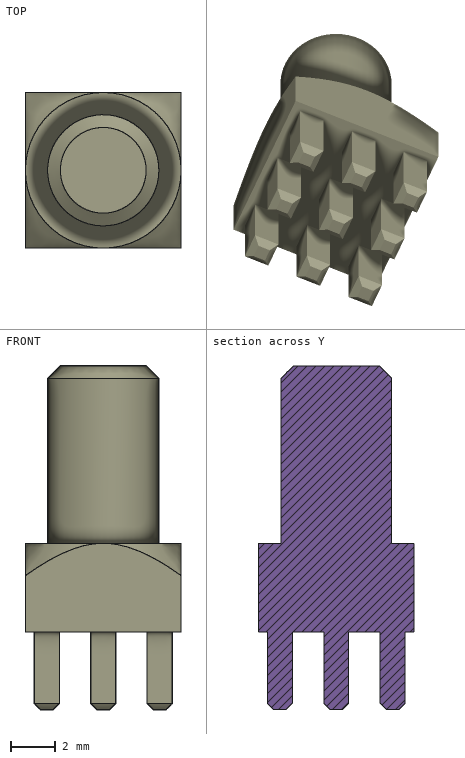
import cadquery as cq

total_height = 15.5
body_width = 7.0
body_height = 4.0
pin_length = 3.5
body_top = pin_length + body_height

shaft_diameter = 5.0
shaft_chamfer = 0.57

pin_width = 1.15
pin_pitch = 2.54
pin_chamfer = 0.3
pins_per_side = 3


def make_body():
    """Square block whose top corners are cut by a 45 degree cone."""
    block = (
        cq.Workplane("XY")
        .workplane(offset=pin_length)
        .rect(body_width, body_width)
        .extrude(body_height)
    )
    top_radius = body_width / 2
    cone_base_radius = top_radius + body_height
    cone = cq.Workplane("XY").add(
        cq.Solid.makeCone(cone_base_radius, top_radius, body_height, pnt=cq.Vector(0, 0, pin_length))
    )
    return block.intersect(cone)


def make_shaft():
    """Round shaft standing on the body, chamfered at its free end."""
    return (
        cq.Workplane("XY")
        .workplane(offset=body_top)
        .circle(shaft_diameter / 2)
        .extrude(total_height - body_top)
        .faces(">Z")
        .chamfer(shaft_chamfer)
    )


def make_pins():
    """Grid of square pins under the body, chamfered at their tips."""
    return (
        cq.Workplane("XY")
        .rarray(pin_pitch, pin_pitch, pins_per_side, pins_per_side)
        .rect(pin_width, pin_width)
        .extrude(pin_length)
        .faces("<Z")
        .chamfer(pin_chamfer)
    )


result = make_body().union(make_shaft()).union(make_pins())